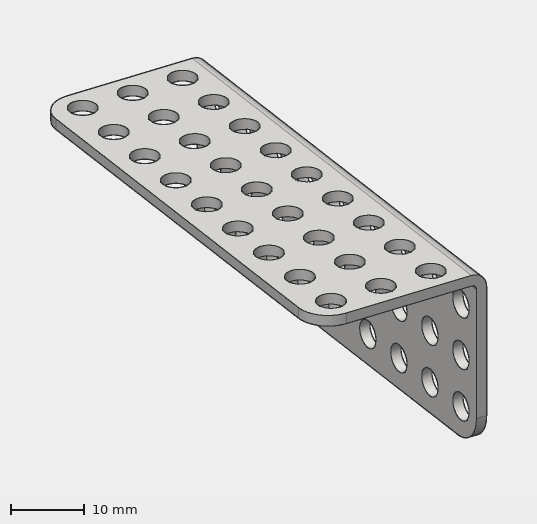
import cadquery as cq

length = 72.0
leg = 27.2
thickness = 1.65
bend_inner_radius = 0.8
bend_outer_radius = bend_inner_radius + thickness
corner_radius = 4.75

hole_diameter = 4.2
columns = 9
rows = 3
pitch = length / columns
free_edge_to_first_row = 4.75


def bent_sheet():
    """L-shaped sheet with its outer bend edge on the X axis."""
    outer = cq.Workplane("XY").box(length, leg, leg, centered=(True, False, False))
    outer = outer.translate((0, -leg, -leg))
    outer = outer.edges("|X and >Y and >Z").fillet(bend_outer_radius)
    inner = cq.Workplane("XY").box(length, leg, leg, centered=(True, False, False))
    inner = inner.translate((0, -leg - thickness, -leg - thickness))
    inner = inner.edges("|X and >Y and >Z").fillet(bend_inner_radius)
    return outer.cut(inner)


def round_free_corners(body):
    """Round the two outer corners of each leg."""
    body = body.edges("|Z and <Y").fillet(corner_radius)
    return body.edges("|Y and <Z").fillet(corner_radius)


def hole_centers():
    """Hole positions as (x, distance from the outer bend edge, negative)."""
    return [
        ((column - (columns - 1) / 2) * pitch, -leg + free_edge_to_first_row + row * pitch)
        for column in range(columns)
        for row in range(rows)
    ]


def leg_holes(plane):
    """Cutters that pass through the leg whose outer face lies on the plane."""
    cutters = cq.Workplane(plane).pushPoints(hole_centers()).circle(hole_diameter / 2)
    return cutters.extrude(thickness, both=True)


result = round_free_corners(bent_sheet())
result = result.cut(leg_holes("XY")).cut(leg_holes("XZ"))